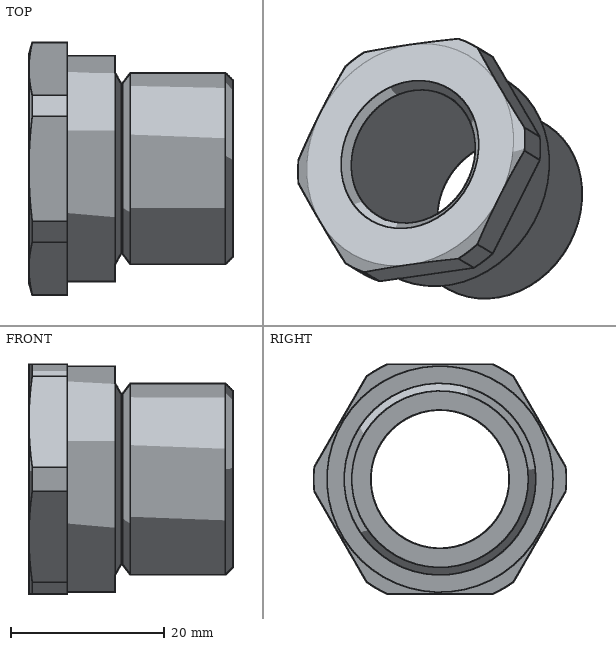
import cadquery as cq
import math

total_length = 26.6
across_flats = 30.0
corner_diameter = 32.98
hex_thickness = 5.0
corner_bevel_length = 0.43
collar_diameter = 29.5
collar_end = 11.25
spigot_diameter = 25.0
groove_diameter = 22.3
groove_entry_length = 0.75
groove_floor_length = 0.2
groove_exit_length = 1.02
end_chamfer = 1.0
bore_diameter = 18.0
bore_chamfer = 1.0


def make_hex_head():
    """Hexagon with flats facing Z, rounded corners and a bevelled outer face."""
    across_corners = across_flats / math.cos(math.radians(30))
    prism = cq.Workplane("YZ").polygon(6, across_corners).extrude(hex_thickness)
    turned_blank = (
        cq.Workplane("XY")
        .polyline([
            (0, 0),
            (0, across_flats / 2),
            (corner_bevel_length, corner_diameter / 2),
            (hex_thickness, corner_diameter / 2),
            (hex_thickness, 0),
        ])
        .close()
        .revolve(360, (0, 0), (1, 0))
    )
    return prism.intersect(turned_blank)


def make_turned_body():
    """Collar, relief groove and chamfered spigot as one revolved profile."""
    collar_radius = collar_diameter / 2
    spigot_radius = spigot_diameter / 2
    groove_radius = groove_diameter / 2
    floor_start = collar_end + groove_entry_length
    floor_end = floor_start + groove_floor_length
    return (
        cq.Workplane("XY")
        .polyline([
            (hex_thickness, 0),
            (hex_thickness, collar_radius),
            (collar_end, collar_radius),
            (collar_end, spigot_radius),
            (floor_start, groove_radius),
            (floor_end, groove_radius),
            (floor_end + groove_exit_length, spigot_radius),
            (total_length - end_chamfer, spigot_radius),
            (total_length, spigot_radius - end_chamfer),
            (total_length, 0),
        ])
        .close()
        .revolve(360, (0, 0), (1, 0))
    )


def make_bore():
    """Through bore, countersunk at the hexagon face."""
    bore_radius = bore_diameter / 2
    return (
        cq.Workplane("XY")
        .polyline([
            (0, 0),
            (0, bore_radius + bore_chamfer),
            (bore_chamfer, bore_radius),
            (total_length, bore_radius),
            (total_length, 0),
        ])
        .close()
        .revolve(360, (0, 0), (1, 0))
    )


result = make_hex_head().union(make_turned_body()).cut(make_bore())